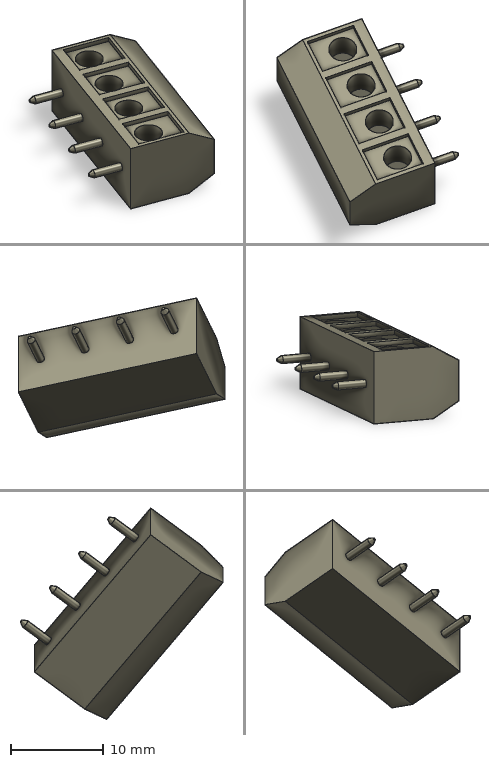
import cadquery as cq

pole_count = 4
housing_length = 20.32
pole_pitch = housing_length / pole_count
housing_depth = 10.0
housing_height = 8.0
bevel_depth = 3.03
bevel_height = 1.75

pocket_length = 4.19
pocket_width = 5.4
pocket_front_wall = 1.18
pocket_depth = 0.5
screw_hole_diameter = 3.0
screw_hole_y = 3.31
screw_hole_depth = 3.05

pin_radius = 0.45
pin_tip_radius = 0.16
pin_length = 3.8
pin_tip_length = 0.53

pole_positions = [(i + 0.5) * pole_pitch for i in range(pole_count)]


def make_housing():
    """Bar with both rear edges bevelled."""
    bevel_start = housing_depth - bevel_depth
    profile = [
        (0, 0),
        (bevel_start, 0),
        (housing_depth, bevel_height),
        (housing_depth, housing_height - bevel_height),
        (bevel_start, housing_height),
        (0, housing_height),
    ]
    return cq.Workplane("YZ").polyline(profile).close().extrude(housing_length)


def make_screw_opening(x):
    """Rectangular pocket with a round blind hole in its floor."""
    pocket_y = pocket_front_wall + pocket_width / 2
    top = cq.Workplane("XY").workplane(offset=housing_height)
    pocket = top.center(x, pocket_y).rect(pocket_length, pocket_width).extrude(-pocket_depth)
    hole = (
        top.center(x, screw_hole_y)
        .circle(screw_hole_diameter / 2)
        .extrude(-(pocket_depth + screw_hole_depth))
    )
    return pocket.union(hole)


def make_pin(x):
    """Round pin with a blunt conical tip, pointing along -Y."""
    half_profile = [
        (0, 0),
        (pin_radius, 0),
        (pin_radius, pin_tip_length - pin_length),
        (pin_tip_radius, -pin_length),
        (0, -pin_length),
    ]
    pin = cq.Workplane("XY").polyline(half_profile).close().revolve(360, (0, 0, 0), (0, 1, 0))
    return pin.translate((x, 0, housing_height / 2))


result = make_housing()
for pole_x in pole_positions:
    result = result.cut(make_screw_opening(pole_x))
    result = result.union(make_pin(pole_x))